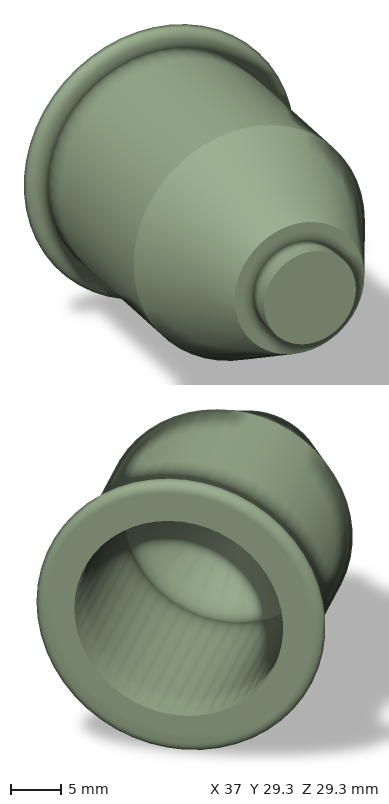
import cadquery as cq

total_length = 37.0
rim_width = 2.0
shoulder_x = 22.5
nose_x = 34.5

rim_diameter = 29.3
body_diameter = 25.2
nose_diameter = 14.15
stub_diameter = 10.0
bore_diameter = 21.2

bore_depth = shoulder_x
bore_tip_x = nose_x


def revolve_about_x(profile):
    """Turn a closed half profile into a solid of revolution about X."""
    return profile.revolve(360, (0, 0, 0), (1, 0, 0))


def make_outside():
    """Fully rounded rim, straight body, tapered nose and end stub."""
    rim_radius = rim_diameter / 2
    rim_rounding = rim_width / 2
    rounding_start = rim_radius - rim_rounding
    profile = (
        cq.Workplane("XY")
        .lineTo(0, rounding_start)
        .threePointArc((rim_rounding, rim_radius), (rim_width, rounding_start))
        .lineTo(rim_width, body_diameter / 2)
        .lineTo(shoulder_x, body_diameter / 2)
        .lineTo(nose_x, nose_diameter / 2)
        .lineTo(nose_x, stub_diameter / 2)
        .lineTo(total_length, stub_diameter / 2)
        .lineTo(total_length, 0)
        .close()
    )
    return revolve_about_x(profile)


def make_bore():
    """Straight blind bore with a conical bottom."""
    profile = (
        cq.Workplane("XY")
        .lineTo(0, bore_diameter / 2)
        .lineTo(bore_depth, bore_diameter / 2)
        .lineTo(bore_tip_x, 0)
        .close()
    )
    return revolve_about_x(profile)


result = make_outside().cut(make_bore())